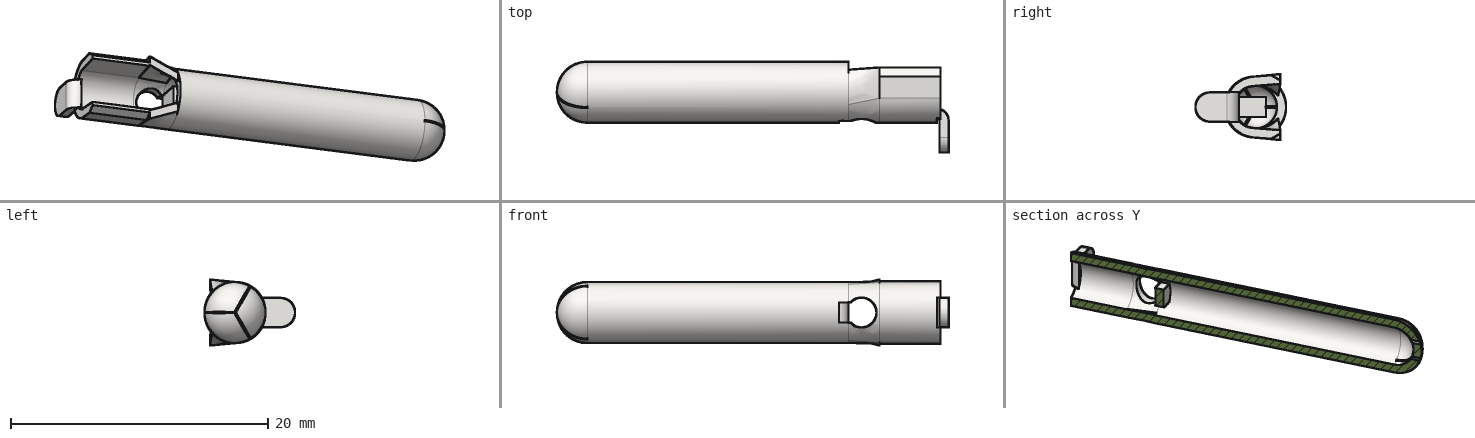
import cadquery as cq
import math

total_length = 30.48
body_end = 22.7
barrel_start = 25.1
barrel_end = 29.85

outer_radius = 2.385
sheet = 0.72
inner_radius = outer_radius - sheet
nose_slit_width = 0.1
nose_slit_angles = (0, 120, 240)

hole_x = 23.7
hole_diameter = 2.3
slot_start = 21.95
slot_width = 1.58

tab_thickness = body_end - slot_start
tab_tip_y = 0.8

neck_bend_y = -0.95
neck_side_y = 0.3
neck_tip_y = 1.76
barrel_bend_y = -0.46
barrel_tip_y = 1.94
neck_flare_tip_z = 2.575
barrel_tip_z = 2.51
leg_bevel_length = 0.7
leg_bevel_depth = 0.45

tongue_width = 2.3
tongue_tip_y = -4.685
tongue_bend_y = -2.2
tongue_bend_inner_radius = 0.2
tongue_bend_outer_radius = tongue_bend_inner_radius + sheet
tongue_bend_x = total_length - tongue_bend_outer_radius


def on_circle(radius, y):
    """Point (Y, Z) at height y on the +Z half of a circle around the X axis."""
    return (y, math.sqrt(radius**2 - y**2))


def mirrored(point):
    """The same (Y, Z) point on the -Z side."""
    return (point[0], -point[1])


def domed_rod(radius):
    """Rod along X whose nose is a half ball centred where the straight tube begins."""
    diagonal = radius * math.sqrt(0.5)
    return (
        cq.Workplane("XY")
        .moveTo(outer_radius - radius, 0)
        .threePointArc((outer_radius - diagonal, diagonal), (outer_radius, radius))
        .lineTo(body_end, radius)
        .lineTo(body_end, 0)
        .close()
        .revolve(360, (0, 0, 0), (1, 0, 0))
    )


def nose_slit(angle):
    """Thin slit through the dome, running from the tip to its base at the given angle."""
    slit = cq.Workplane("XY").box(
        outer_radius, outer_radius, nose_slit_width, centered=(False, False, True)
    )
    return slit.rotate((0, 0, 0), (1, 0, 0), angle)


def make_body():
    body = domed_rod(outer_radius).cut(domed_rod(inner_radius))
    for angle in nose_slit_angles:
        body = body.cut(nose_slit(angle))
    return body


def draw_neck_section(workplane, radius, tip_z):
    """Round floor with legs that curl inward to their tips."""
    bend = on_circle(radius, neck_bend_y * radius / outer_radius)
    side = on_circle(radius, neck_side_y)
    tip = (neck_tip_y, tip_z)
    return (
        workplane.moveTo(*tip)
        .threePointArc(side, bend)
        .threePointArc((-radius, 0), mirrored(bend))
        .threePointArc(mirrored(side), mirrored(tip))
        .close()
    )


def draw_barrel_section(workplane, radius, tip_z):
    """Round floor with straight legs that flare outward to their tips."""
    bend = on_circle(radius, barrel_bend_y)
    tip = (barrel_tip_y, tip_z)
    return (
        workplane.moveTo(*tip)
        .lineTo(*bend)
        .threePointArc((-radius, 0), mirrored(bend))
        .lineTo(*mirrored(tip))
        .close()
    )


def neck_block(radius, neck_tip_z, flare_tip_z):
    """Solid that blends the neck section into the barrel section."""
    start = cq.Workplane("YZ", origin=(body_end, 0, 0))
    neck = draw_neck_section(start, radius, neck_tip_z).workplane(offset=barrel_start - body_end)
    return draw_barrel_section(neck, radius, flare_tip_z).loft(ruled=True)


def make_neck():
    outer_tip_z = on_circle(outer_radius, neck_tip_y)[1]
    outside = neck_block(outer_radius, outer_tip_z, neck_flare_tip_z)
    inside = neck_block(inner_radius, outer_tip_z - sheet, neck_flare_tip_z - sheet)
    return outside.cut(inside)


def barrel_block(radius, tip_z):
    start = cq.Workplane("YZ", origin=(barrel_start, 0, 0))
    return draw_barrel_section(start, radius, tip_z).extrude(barrel_end - barrel_start)


def leg_bevel(side):
    """Wedge that thins the outside of one leg toward its tip; side is +1 or -1 along Z."""
    bend_y, bend_z = on_circle(outer_radius, barrel_bend_y)
    flare = (barrel_tip_z - bend_z) / (barrel_tip_y - bend_y)
    bevel_z = barrel_tip_z - flare * leg_bevel_length
    return (
        cq.Workplane("YZ", origin=(barrel_start, 0, 0))
        .moveTo(barrel_tip_y - leg_bevel_length, side * bevel_z)
        .lineTo(barrel_tip_y, side * barrel_tip_z)
        .lineTo(barrel_tip_y, side * (barrel_tip_z - leg_bevel_depth))
        .close()
        .extrude(barrel_end - barrel_start)
    )


def make_barrel():
    barrel = barrel_block(outer_radius, barrel_tip_z).cut(barrel_block(inner_radius, barrel_tip_z - sheet))
    for side in (1, -1):
        barrel = barrel.cut(leg_bevel(side))
    tongue_notch = cq.Workplane("XY").box(
        barrel_end - tongue_bend_x, outer_radius, tongue_width, centered=(False, False, True)
    )
    return barrel.cut(tongue_notch.translate((tongue_bend_x, -outer_radius, 0)))


def make_tongue():
    diagonal = math.sqrt(0.5)
    bend_top = tongue_bend_y + tongue_bend_outer_radius
    bend_bottom = tongue_bend_y + tongue_bend_inner_radius
    inner_face_x = total_length - sheet
    outer_mid = (
        tongue_bend_x + diagonal * tongue_bend_outer_radius,
        tongue_bend_y + diagonal * tongue_bend_outer_radius,
    )
    inner_mid = (
        tongue_bend_x + diagonal * tongue_bend_inner_radius,
        tongue_bend_y + diagonal * tongue_bend_inner_radius,
    )
    bend = (
        cq.Workplane("XY", origin=(0, 0, -tongue_width / 2))
        .moveTo(tongue_bend_x, bend_top)
        .threePointArc(outer_mid, (total_length, tongue_bend_y))
        .lineTo(inner_face_x, tongue_bend_y)
        .threePointArc(inner_mid, (tongue_bend_x, bend_bottom))
        .close()
        .extrude(tongue_width)
    )
    half_width = tongue_width / 2
    round_center_y = tongue_tip_y + half_width
    blade = (
        cq.Workplane("YZ", origin=(inner_face_x, 0, 0))
        .moveTo(tongue_bend_y, half_width)
        .lineTo(round_center_y, half_width)
        .threePointArc((tongue_tip_y, 0), (round_center_y, -half_width))
        .lineTo(tongue_bend_y, -half_width)
        .close()
        .extrude(sheet)
    )
    return bend.union(blade)


def make_stop_tab():
    """Tab as wide as the slot, with a rounded bend that meets the tube surface at the slot edge."""
    bend_base_y = -on_circle(outer_radius, slot_width / 2)[1]
    bend_center_y = bend_base_y + tab_thickness
    diagonal = tab_thickness * math.sqrt(0.5)
    return (
        cq.Workplane("XY", origin=(0, 0, -slot_width / 2))
        .moveTo(slot_start, bend_base_y)
        .threePointArc((slot_start + diagonal, bend_center_y - diagonal), (body_end, bend_center_y))
        .lineTo(body_end, tab_tip_y)
        .lineTo(slot_start, tab_tip_y)
        .close()
        .extrude(slot_width)
    )


def make_floor_opening():
    """Hole and slot, cutting only the floor on the -Y side."""
    hole = (
        cq.Workplane("XZ", origin=(hole_x, 0, 0))
        .circle(hole_diameter / 2)
        .extrude(outer_radius)
    )
    slot = cq.Workplane("XY").box(
        hole_x - slot_start, outer_radius, slot_width, centered=(False, False, True)
    )
    return hole.union(slot.translate((slot_start, -outer_radius, 0)))


result = make_body().union(make_neck()).union(make_barrel()).union(make_tongue())
result = result.cut(make_floor_opening()).union(make_stop_tab())